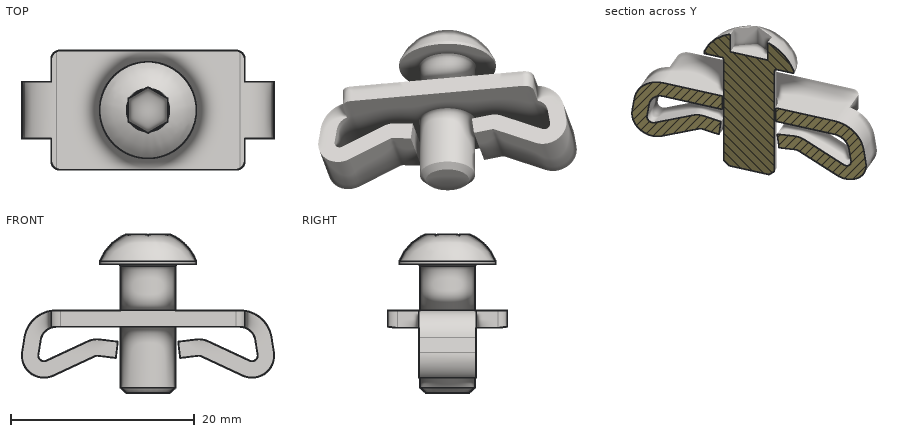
import cadquery as cq
import math

clip_length = 27.45
plate_length = 21.08
plate_width = 13.0
corner_radius = 1.02
sheet = 1.8
strip_width = 6.2
hole_diameter = 6.2

shoulder_radius = 2.58
heel_radius = 1.5
crest_radius = 1.43

leg_angle = 81.0
ramp_angle = 25.0
tip_angle = 7.0

leg_length = 1.62
ramp_length = 5.0
tip_length = 2.0

total_height = 17.3
head_above_plate = 8.3
head_diameter = 10.5
head_height = 3.3
rim_height = 0.33
crown_diameter = 4.67
dome_mid_radius = 4.021
dome_mid_depth = 1.1
shank_diameter = 6.0
neck_diameter = 6.2
neck_height = 0.22
end_chamfer_height = 0.6
end_chamfer_width = 0.65
socket_across_flats = 4.35
socket_depth = 2.25

leg = math.radians(leg_angle)
shoulder_outer = shoulder_radius + sheet / 2
heel_outer = heel_radius + sheet / 2
fold_reach = (
    shoulder_outer * math.sin(leg)
    + leg_length * math.cos(leg)
    + heel_outer * (1 - math.sin(leg))
)
bend_start = clip_length / 2 - fold_reach


def straight(point, heading, length):
    """Line from point along heading (degrees); returns the edge and its end."""
    angle = math.radians(heading)
    end = (point[0] + length * math.cos(angle), point[1] + length * math.sin(angle))
    return cq.Edge.makeLine(in_xz(point), in_xz(end)), end


def bend(point, heading, turn, radius):
    """Arc tangent to heading that turns by turn degrees; returns the edge and its end."""
    side = math.copysign(1, turn)

    def along(swept):
        start = math.radians(heading)
        angle = start + math.radians(swept)
        return (
            point[0] + side * radius * (math.sin(angle) - math.sin(start)),
            point[1] - side * radius * (math.cos(angle) - math.cos(start)),
        )

    end = along(turn)
    return cq.Edge.makeThreePointArc(in_xz(point), in_xz(along(turn / 2)), in_xz(end)), end


def in_xz(point):
    return cq.Vector(point[0], 0, point[1])


def sweep_sheet(edges, width):
    """Sheet of the given width along a centreline that starts at the shoulder bend."""
    path = cq.Wire.assembleEdges(edges)
    section = cq.Workplane("YZ", origin=(bend_start, 0, -sheet / 2)).rect(width, sheet)
    return section.sweep(cq.Workplane(path))


def make_fold():
    """Strip at the +X end: shoulder, leg, heel, ramp, crest and tip."""
    start = (bend_start, -sheet / 2)
    ramp_heading = -180 - ramp_angle
    tip_heading = -180 + tip_angle
    shoulder, point = bend(start, 0, -leg_angle, shoulder_radius)
    leg_line, point = straight(point, -leg_angle, leg_length)
    heel, point = bend(point, -leg_angle, ramp_heading + leg_angle, heel_radius)
    ramp, point = straight(point, ramp_heading, ramp_length)
    crest, point = bend(point, ramp_heading, tip_heading - ramp_heading, crest_radius)
    tip, point = straight(point, tip_heading, tip_length)
    fold = sweep_sheet([shoulder, leg_line, heel, ramp, crest, tip], strip_width)

    margin = sweep_sheet([shoulder], plate_width)
    return fold, margin


def make_clip():
    fold, margin = make_fold()
    plate = cq.Workplane("XY").box(2 * bend_start, plate_width, sheet, centered=(True, True, False))
    plate = plate.translate((0, 0, -sheet))
    plate = plate.union(margin).union(margin.mirror("YZ"))
    outline_height = 3 * sheet
    outline = cq.Workplane("XY").box(plate_length, plate_width, outline_height)
    plate = plate.intersect(outline.edges("|Z").fillet(corner_radius))
    clip = plate.union(fold).union(fold.mirror("YZ"))
    hole = cq.Workplane("XY").circle(hole_diameter / 2).extrude(-sheet)
    return clip.cut(hole)


def make_screw():
    top = head_above_plate
    bottom = top - total_height
    head_base = top - head_height
    head_radius = head_diameter / 2
    shank_radius = shank_diameter / 2
    profile = (
        cq.Workplane("XZ")
        .moveTo(0, bottom)
        .lineTo(shank_radius - end_chamfer_width, bottom)
        .lineTo(shank_radius, bottom + end_chamfer_height)
        .lineTo(shank_radius, head_base - neck_height)
        .lineTo(neck_diameter / 2, head_base)
        .lineTo(head_radius, head_base)
        .lineTo(head_radius, head_base + rim_height)
        .threePointArc((dome_mid_radius, top - dome_mid_depth), (crown_diameter / 2, top))
        .lineTo(0, top)
        .close()
    )
    screw = profile.revolve(360, (0, 0, 0), (0, 1, 0))
    across_corners = socket_across_flats / math.cos(math.radians(30))
    socket = (
        cq.Workplane("XY", origin=(0, 0, top))
        .transformed(rotate=(0, 0, 90))
        .polygon(6, across_corners)
        .extrude(-socket_depth)
    )
    return screw.cut(socket)


clip = make_clip()
screw = make_screw()

result = cq.Compound.makeCompound([clip.val(), screw.val()])